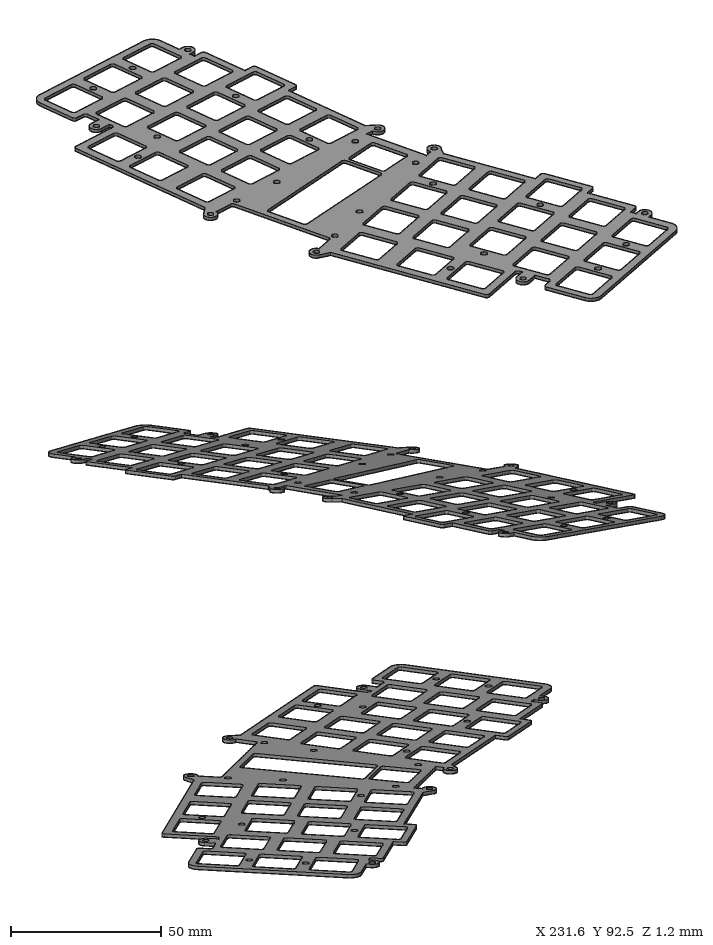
import cadquery as cq
import math

thickness = 1.2
tilt = -7.0
pitch = 19.05
quarter_key = pitch / 4
eighth_key = pitch / 8

switch_width = 14.0
switch_length = 14.55
switch_radius = 1.0

INNER, INDEX, MIDDLE, RING, PINKY = range(5)
column_stagger = [0, 0, quarter_key, 0, -quarter_key]
inner_column_u = -27.33
home_row_v = 3.85
row_steps = [-1, 0, 1]

thumb_v = home_row_v - 2 * pitch
thumb_us = [
    inner_column_u - eighth_key,
    inner_column_u - pitch - quarter_key,
    inner_column_u - 2 * pitch - quarter_key,
]

pinky_side = 9.95
pinky_top = 10.4
pinky_bottom = 9.9
pinky_inward_side = 9.8
ring_side = 9.6
ring_bottom = 9.5
upper_edge = 10.05
middle_left_side = 9.75
middle_right_side = 10.1
middle_top = 9.8
thumb_side = 10.35
thumb_bottom = 10.05
inner_edge_u = -16.0
corner_radius = 1.0
pinky_corner_radius = 4.0
notch_radius = 1.0

body_top = 30.87
body_bottom = -33.7
body_overlap = 1.0
window_width = 14.87
window_top = 27.48
window_bottom = 13.47
slot_width = 16.1
slot_top = 12.15
slot_bottom = -31.2
cutout_radius = 1.0

screw_diameter = 2.2
lug_hole_diameter = 2.1
lug_radius = 2.4
inner_screw_offset = 12.0
bottom_screw = (-16.3, -33.6)
pinky_lug = (-98.6, 30.2)
top_lug = (-15.95, 34.4)
ring_lug = (-85.1, -28.5)
bottom_lug = (-16.3, -46.2)
top_web_foot = 4.4
bottom_web_foot = 4.35
top_web_angle = 120
bottom_web_angle = 220
pick_tolerance = 0.05


def column_u(column):
    return inner_column_u - column * pitch


def row_v(column, step):
    return home_row_v + column_stagger[column] + step * pitch


upper_edge_v = row_v(INNER, 1) + upper_edge
pinky_top_v = row_v(PINKY, 1) + pinky_top
ring_bottom_v = row_v(RING, -1) - ring_bottom
thumb_bottom_v = thumb_v - thumb_bottom

lugs = [pinky_lug, top_lug, ring_lug, bottom_lug]
screws = [
    (column_u(PINKY), row_v(PINKY, 0.5)),
    (column_u(PINKY), row_v(PINKY, -0.5)),
    (column_u(MIDDLE), row_v(MIDDLE, 0.5)),
    (column_u(MIDDLE), row_v(MIDDLE, -1.5)),
    (column_u(INNER), row_v(INNER, 0.5)),
    (column_u(INNER) + inner_screw_offset, row_v(INNER, 1)),
    (column_u(INNER) + inner_screw_offset, row_v(INNER, -1)),
    ((thumb_us[1] + thumb_us[2]) / 2, thumb_v),
    bottom_screw,
]


def sheet(points):
    """Flat plate with the given outline."""
    return cq.Workplane("XY").polyline(points).close().extrude(thickness)


def discs(centres, diameter):
    return cq.Workplane("XY").pushPoints(centres).circle(diameter / 2).extrude(thickness)


def turned(shape):
    """Turn a shape from grid axes into its place in the left half."""
    return shape.rotate((0, 0, 0), (0, 0, 1), tilt)


def round_corners(shape, radius, points):
    """Round the upright edges that stand at the given points."""
    for x, y in points:
        picker = cq.selectors.BoxSelector(
            (x - pick_tolerance, y - pick_tolerance, -thickness),
            (x + pick_tolerance, y + pick_tolerance, 2 * thickness),
        )
        shape = shape.edges(picker).fillet(radius)
    return shape


def half_outline():
    pinky_left = column_u(PINKY) - pinky_side
    pinky_right = column_u(PINKY) + pinky_inward_side
    pinky_bottom_v = row_v(PINKY, -1) - pinky_bottom
    ring_left = column_u(RING) - ring_side
    middle_left = column_u(MIDDLE) - middle_left_side
    middle_right = column_u(MIDDLE) + middle_right_side
    middle_top_v = row_v(MIDDLE, 1) + middle_top
    thumb_left = thumb_us[2] - thumb_side

    pinky_corners = [(pinky_left, pinky_bottom_v), (pinky_left, pinky_top_v)]
    ring_corner = (ring_left, upper_edge_v)
    middle_corners = [(middle_left, middle_top_v), (middle_right, middle_top_v)]
    thumb_corner = (thumb_left, thumb_bottom_v)
    pinky_inward_corner = (pinky_right, pinky_bottom_v)
    notch_corners = [(thumb_left, ring_bottom_v), (pinky_right, ring_bottom_v)]

    outline = sheet([
        *pinky_corners,
        (ring_left, pinky_top_v),
        ring_corner,
        (middle_left, upper_edge_v),
        *middle_corners,
        (middle_right, upper_edge_v),
        (inner_edge_u, upper_edge_v),
        (inner_edge_u, thumb_bottom_v),
        thumb_corner,
        *notch_corners,
        pinky_inward_corner,
    ])
    small_corners = [ring_corner, *middle_corners, thumb_corner, pinky_inward_corner]
    outline = round_corners(outline, pinky_corner_radius, pinky_corners)
    outline = round_corners(outline, corner_radius, small_corners)
    return round_corners(outline, notch_radius, notch_corners)


def straight_web(lug, edge_v):
    """Web as wide as the lug, running straight to the plate edge."""
    u, v = lug
    return sheet([
        (u - lug_radius, v),
        (u + lug_radius, v),
        (u + lug_radius, edge_v),
        (u - lug_radius, edge_v),
    ])


def sloping_web(lug, edge_v, foot, rim_angle):
    """Web from the plate edge beside the lug up to the lug rim."""
    u, v = lug
    angle = math.radians(rim_angle)
    rim = (u + lug_radius * math.cos(angle), v + lug_radius * math.sin(angle))
    return sheet([(u - foot, edge_v), (u, edge_v), (u, v), rim])


def left_half():
    half = half_outline().union(discs(lugs, 2 * lug_radius))
    half = half.union(straight_web(pinky_lug, pinky_top_v))
    half = half.union(straight_web(ring_lug, ring_bottom_v))
    half = half.union(sloping_web(top_lug, upper_edge_v, top_web_foot, top_web_angle))
    half = half.union(sloping_web(bottom_lug, thumb_bottom_v, bottom_web_foot, bottom_web_angle))
    return turned(half)


def switch_cutouts(centres, size_u, size_v):
    blocks = cq.Workplane("XY").pushPoints(centres).rect(size_u, size_v).extrude(thickness)
    return blocks.edges("|Z").fillet(switch_radius)


def left_cutouts():
    finger_keys = [(column_u(c), row_v(c, s)) for c in range(len(column_stagger)) for s in row_steps]
    thumb_keys = [(u, thumb_v) for u in thumb_us]
    cutouts = switch_cutouts(finger_keys, switch_width, switch_length)
    cutouts.add(switch_cutouts(thumb_keys, switch_length, switch_width))
    cutouts.add(discs(screws, screw_diameter))
    cutouts.add(discs(lugs, lug_hole_diameter))
    return turned(cutouts.combine())


def inner_edge_x(y):
    """X of the left half's inner edge at height y, after the turn."""
    angle = math.radians(tilt)
    return inner_edge_u / math.cos(angle) - y * math.tan(angle)


def joining_body():
    top_x = inner_edge_x(body_top) - body_overlap
    bottom_x = inner_edge_x(body_bottom) - body_overlap
    return sheet([
        (top_x, body_top),
        (-top_x, body_top),
        (-bottom_x, body_bottom),
        (bottom_x, body_bottom),
    ])


def centre_cutout(width, top, bottom):
    """Cutout centred on X = 0 with rounded corners."""
    block = cq.Workplane("XY").center(0, (top + bottom) / 2).rect(width, top - bottom).extrude(thickness)
    return block.edges("|Z").fillet(cutout_radius)


half_plate = left_half()
half_cutouts = left_cutouts()

result = joining_body().union(half_plate).union(half_plate.mirror("YZ"))
bottom_corner_x = inner_edge_x(body_bottom)
result = round_corners(
    result, notch_radius, [(bottom_corner_x, body_bottom), (-bottom_corner_x, body_bottom)]
)
result = result.cut(half_cutouts).cut(half_cutouts.mirror("YZ"))
result = result.cut(centre_cutout(window_width, window_top, window_bottom))
result = result.cut(centre_cutout(slot_width, slot_top, slot_bottom))